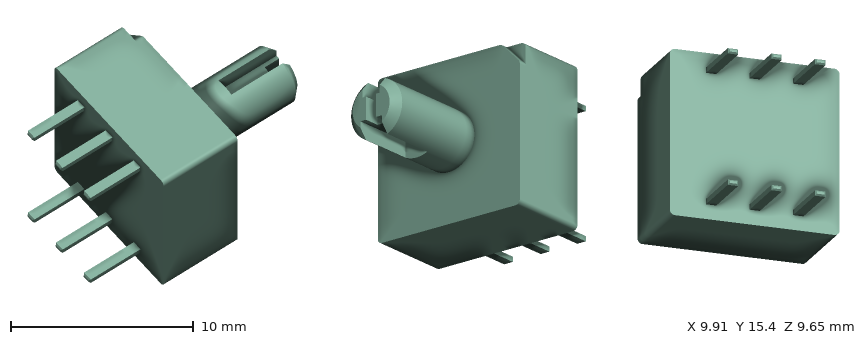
import cadquery as cq

body_width = 9.91
body_height = 9.65
body_depth = 5.08
edge_radius = 0.3

notch_leg = 1.28
notch_depth = 0.51

shaft_diameter = 3.57
shaft_length = 6.85
shaft_chamfer = 0.5
top_groove_width = 1.19
bottom_groove_width = 1.5
groove_length = 4.0
web_thickness = 1.36
tip_slot_width = 0.71
tip_slot_depth = 1.0

pin_width = 0.6
pin_thickness = 0.31
pin_chamfer = 0.1
pin_pitch = 2.55
pin_row_spacing = 7.63
pins_per_row = 3
overall_length = 15.44
pin_length = overall_length - body_depth - shaft_length

shaft_end = body_depth + shaft_length


def block(width, height, y_start, y_end):
    """Box centred on the Y axis, running from y_start to y_end."""
    length = y_end - y_start
    return cq.Workplane("XY").box(width, length, height).translate((0, y_start + length / 2, 0))


def make_housing():
    """Plain rear part joined to a front part that has one corner bevelled."""
    step = body_depth - notch_depth
    rear = block(body_width, body_height, 0, step).edges("|Y").fillet(edge_radius)
    front = block(body_width, body_height, step, body_depth)
    front = front.edges("|Y").edges("<X").edges(">Z").chamfer(notch_leg)
    front = front.edges("|Y").fillet(edge_radius)
    return rear.union(front)


def make_shaft():
    """Chamfered round shaft, grooved above and below, with a slot across its tip."""
    shaft = (
        cq.Workplane("XZ", origin=(0, body_depth, 0))
        .circle(shaft_diameter / 2)
        .extrude(-shaft_length)
        .faces(">Y")
        .chamfer(shaft_chamfer)
    )
    groove_start = shaft_end - groove_length
    groove_offset = (web_thickness + shaft_diameter) / 2
    top_groove = block(top_groove_width, shaft_diameter, groove_start, shaft_end)
    bottom_groove = block(bottom_groove_width, shaft_diameter, groove_start, shaft_end)
    shaft = shaft.cut(top_groove.translate((0, 0, groove_offset)))
    shaft = shaft.cut(bottom_groove.translate((0, 0, -groove_offset)))
    tip_slot = block(tip_slot_width, shaft_diameter, shaft_end - tip_slot_depth, shaft_end)
    return shaft.cut(tip_slot)


def make_pin(x, z):
    """Flat pin with its free end chamfered all round."""
    pin = block(pin_width, pin_thickness, -pin_length, 0)
    return pin.faces("<Y").chamfer(pin_chamfer).translate((x, 0, z))


result = make_housing().union(make_shaft())

for column in range(pins_per_row):
    pin_x = (column - (pins_per_row - 1) / 2) * pin_pitch
    for pin_z in (-pin_row_spacing / 2, pin_row_spacing / 2):
        result = result.union(make_pin(pin_x, pin_z))